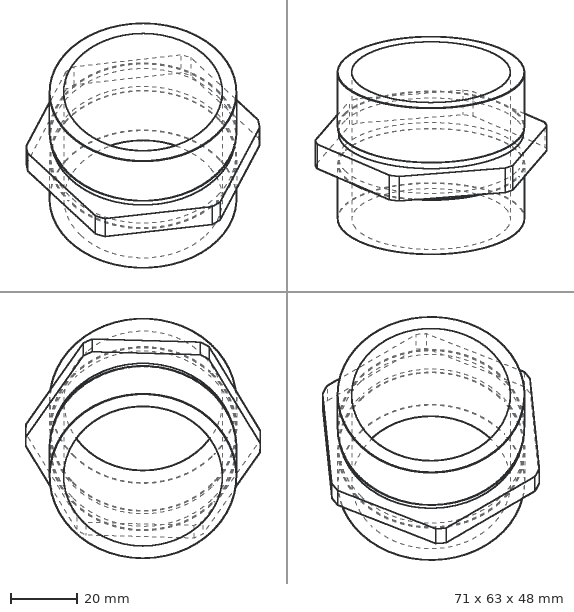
import cadquery as cq
import math

total_height = 48.0
bore_diameter = 48.0
collar_diameter = 56.65
neck_diameter = 56.0

hex_across_flats = 63.0
hex_corner_diameter = 71.0
hex_height = 8.0

collar_height = 17.95
edge_chamfer = 0.15


def centred_cylinder(diameter, height):
    """Z-axis cylinder centred on the origin."""
    return cq.Workplane("XY").circle(diameter / 2).extrude(height / 2, both=True)


def hex_flange():
    """Hexagon with corners along X, its corners rounded by a cylinder."""
    sharp_corner_diameter = hex_across_flats / math.cos(math.pi / 6)
    hexagon = (
        cq.Workplane("XY")
        .polygon(6, sharp_corner_diameter)
        .extrude(hex_height / 2, both=True)
    )
    return hexagon.intersect(centred_cylinder(hex_corner_diameter, hex_height))


def end_collar(base_z):
    """Threaded-end collar with both outer edges lightly chamfered."""
    return (
        cq.Workplane("XY")
        .workplane(offset=base_z)
        .circle(collar_diameter / 2)
        .extrude(collar_height)
        .edges()
        .chamfer(edge_chamfer)
    )


body = centred_cylinder(neck_diameter, total_height - 2 * edge_chamfer).union(hex_flange())
for base_z in (-total_height / 2, total_height / 2 - collar_height):
    body = body.union(end_collar(base_z))

result = body.cut(centred_cylinder(bore_diameter, total_height))